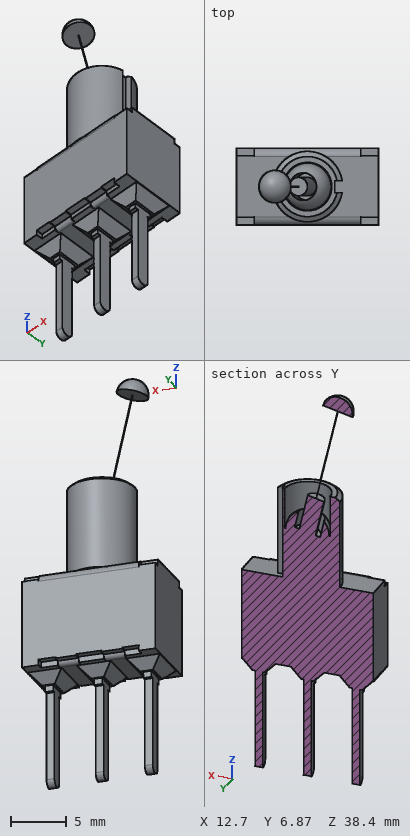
import cadquery as cq
import math


case_length = 12.7
case_width = 6.87
case_height = 8.87
end_block_length = 1.57
cover_length = case_length - 2 * end_block_length
corner_notch_depth = 0.7
corner_notch_height = 0.58
cover_edge_radius = 0.73

cover_skirt_height = 0.42
pad_notch_height = 0.55
base_inset = 0.7
base_width = case_width - 2 * base_inset
pad_half_length = 1.2
outer_pad_inner_edge = 3.2

bushing_diameter = 6.3
bushing_top = 17.75
bushing_chamfer_width = 0.45
bushing_chamfer_height = 0.35
bore_diameter = 4.35
keyway_width = 1.08
keyway_floor = 2.4

lever_tilt = 13.0
pivot_height = 13.8
pivot_ball_radius = 2.1
stub_diameter = 1.65
stub_length = 3.6
socket_diameter = 2.45
cap_radius = 1.45
cap_distance = 12.9
stem_diameter = 0.08

terminal_pitch = 4.7
terminal_thickness = 0.75
terminal_width = 1.25
shoulder_width = 1.95
shoulder_bottom = -1.6
collar_length = 3.23
collar_width = 4.22
collar_height = 1.05
collar_tip_length = 1.23
collar_tip_width = 2.4

cap_top = pivot_height + cap_distance * math.cos(math.radians(lever_tilt)) + cap_radius
overall_height = 38.4
terminal_bottom = cap_top - overall_height


def block(x_range, width, z_range):
    """Box centred on Y that spans the given X and Z ranges."""
    length = x_range[1] - x_range[0]
    height = z_range[1] - z_range[0]
    return (
        cq.Workplane("XY")
        .box(length, width, height, centered=(False, True, False))
        .translate((x_range[0], 0, z_range[0]))
    )


def make_cover():
    """Middle of the case: rounded top edges, short skirt and the stepped base under it."""
    half_length = cover_length / 2
    cover = block((-half_length, half_length), case_width, (cover_skirt_height, case_height))
    cover = cover.edges("|X and >Z").fillet(cover_edge_radius)

    pads = (
        (-half_length, -outer_pad_inner_edge),
        (-pad_half_length, pad_half_length),
        (outer_pad_inner_edge, half_length),
    )
    for pad in pads:
        cover = cover.cut(block(pad, case_width, (cover_skirt_height, pad_notch_height)))
        cover = cover.union(block(pad, base_width, (0, pad_notch_height)))

    gaps = (
        (-outer_pad_inner_edge, -pad_half_length),
        (pad_half_length, outer_pad_inner_edge),
    )
    for gap in gaps:
        strip = block(gap, base_width, (0, pad_notch_height))
        cover = cover.union(strip.edges("|X and <Z").fillet(cover_skirt_height))
    return cover


def make_end_block(side):
    """End of the case with its two upper long edges stepped down."""
    inner, outer = cover_length / 2, case_length / 2
    x_range = (inner, outer) if side > 0 else (-outer, -inner)
    step_height = case_height - corner_notch_height
    lower = block(x_range, case_width, (0, step_height))
    upper = block(x_range, case_width - 2 * corner_notch_depth, (step_height, case_height))
    return lower.union(upper)


def make_bushing():
    """Chamfered tube with a keyway along +X; the pivot ball rises from the bore floor."""
    outer = bushing_diameter / 2
    bore = bore_diameter / 2
    diagonal = pivot_ball_radius * math.sqrt(0.5)
    bushing = (
        cq.Workplane("XZ")
        .moveTo(0, case_height)
        .lineTo(outer, case_height)
        .lineTo(outer, bushing_top - bushing_chamfer_height)
        .lineTo(outer - bushing_chamfer_width, bushing_top)
        .lineTo(bore, bushing_top)
        .lineTo(bore, pivot_height)
        .lineTo(pivot_ball_radius, pivot_height)
        .threePointArc((diagonal, pivot_height + diagonal), (0, pivot_height + pivot_ball_radius))
        .close()
        .revolve(360, (0, 0, 0), (0, 1, 0))
    )
    keyway = block((keyway_floor, outer), keyway_width, (case_height, bushing_top))
    return bushing.cut(keyway)


def lever_plane(distance):
    """Plane square to the tilted lever, at a distance from the pivot."""
    tilt = math.radians(lever_tilt)
    axis = (-math.sin(tilt), 0, math.cos(tilt))
    origin = (distance * axis[0], 0, pivot_height + distance * axis[2])
    return cq.Plane(origin=origin, xDir=(axis[2], 0, -axis[0]), normal=axis)


def lever_cylinder(diameter, start, end):
    """Round bar along the lever between two distances from the pivot."""
    return cq.Workplane(lever_plane(start)).circle(diameter / 2).extrude(end - start)


def make_cap():
    """Half ball at the end of the lever, flat side towards the pivot."""
    ball = cq.Workplane(lever_plane(cap_distance)).sphere(cap_radius)
    ball_diameter = 2 * cap_radius
    lower_half = lever_cylinder(2 * ball_diameter, cap_distance - ball_diameter, cap_distance)
    return ball.cut(lower_half)


def make_terminal(x):
    """Flat pin with a full-round tip and a wider shoulder, rising from a sealing collar."""
    half_width = terminal_width / 2
    half_shoulder = shoulder_width / 2
    tip_start = terminal_bottom + half_width
    pin = (
        cq.Workplane("YZ")
        .moveTo(-half_shoulder, 0)
        .lineTo(-half_shoulder, shoulder_bottom)
        .lineTo(-half_width, shoulder_bottom)
        .lineTo(-half_width, tip_start)
        .threePointArc((0, terminal_bottom), (half_width, tip_start))
        .lineTo(half_width, shoulder_bottom)
        .lineTo(half_shoulder, shoulder_bottom)
        .lineTo(half_shoulder, 0)
        .close()
        .extrude(terminal_thickness / 2, both=True)
    )
    collar = (
        cq.Workplane("XY")
        .rect(collar_length, collar_width)
        .workplane(offset=-collar_height)
        .rect(collar_tip_length, collar_tip_width)
        .loft()
    )
    return pin.union(collar).translate((x, 0, 0))


result = make_cover().union(make_bushing())
for side in (-1, 1):
    result = result.union(make_end_block(side))

result = result.cut(lever_cylinder(socket_diameter, 0, 2 * pivot_ball_radius))
result = result.union(lever_cylinder(stub_diameter, 0, stub_length))

result = result.union(lever_cylinder(stem_diameter, stub_length, cap_distance))
result = result.union(make_cap())

for place in (-1, 0, 1):
    result = result.union(make_terminal(place * terminal_pitch))